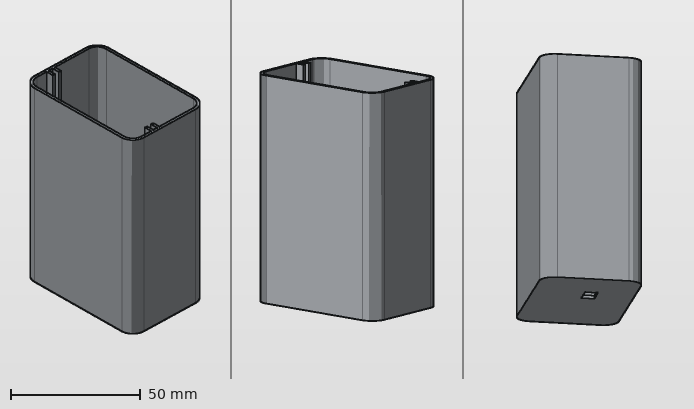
import cadquery as cq

length = 60.0
width = 40.0
height = 90.0
corner_radius = 6.0
wall = 1.3
floor = wall

rib_reach = 3.4
rib_thickness = 1.2
board_gap = 2.1
board_y = -6.5

window_length = 8.0
window_width = 5.0
window_x = 8.2
window_y = 2.7


def make_shell():
    outer = cq.Workplane("XY").box(length, width, height, centered=(True, True, False))
    outer = outer.edges("|Z").fillet(corner_radius)
    cavity = (
        cq.Workplane("XY")
        .workplane(offset=floor)
        .rect(length - 2 * wall, width - 2 * wall)
        .extrude(height - floor)
        .edges("|Z")
        .fillet(corner_radius - wall)
    )
    return outer.cut(cavity)


def make_guide_ribs():
    embed = wall / 2
    rib_length = rib_reach + embed
    rib_x = length / 2 - wall - rib_reach + rib_length / 2
    rib_offset = (board_gap + rib_thickness) / 2
    centers = [
        (x_side * rib_x, board_y + y_side * rib_offset)
        for x_side in (-1, 1)
        for y_side in (-1, 1)
    ]
    return (
        cq.Workplane("XY")
        .workplane(offset=floor / 2)
        .pushPoints(centers)
        .rect(rib_length, rib_thickness)
        .extrude(height - floor / 2)
    )


def make_window():
    return (
        cq.Workplane("XY")
        .center(window_x, window_y)
        .rect(window_length, window_width)
        .extrude(floor)
    )


result = make_shell().union(make_guide_ribs()).cut(make_window())